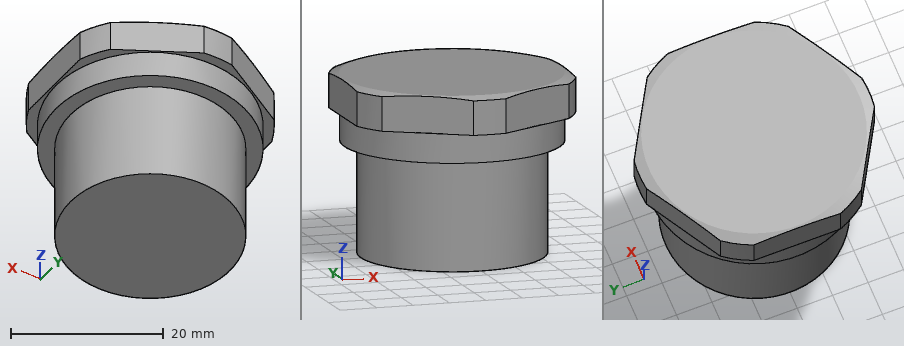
import cadquery as cq
import math

head_sides = 6
across_flats = 30.0
corner_diameter = 32.4
head_height = 5.0
top_face_diameter = 29.5
chamfer_angle = 15.0

collar_diameter = top_face_diameter
collar_height = 4.0

plug_diameter = 25.0
plug_height = 15.0

collar_base = plug_height
head_base = collar_base + collar_height
head_top = head_base + head_height


def cylinder(diameter, base, height):
    """Cylinder on the Z axis, standing on the level `base`."""
    return cq.Workplane("XY").workplane(offset=base).circle(diameter / 2).extrude(height)


def hexagon_prism():
    """Sharp hexagon with one pair of flats facing +X and -X."""
    half_side_angle = 180 / head_sides
    sharp_diameter = across_flats / math.cos(math.radians(half_side_angle))
    return (
        cq.Workplane("XY")
        .workplane(offset=head_base)
        .transformed(rotate=(0, 0, half_side_angle))
        .polygon(head_sides, sharp_diameter)
        .extrude(head_height)
    )


def turned_blank():
    """Round disc with a shallow conical chamfer, which trims the hexagon corners."""
    corner_radius = corner_diameter / 2
    top_radius = top_face_diameter / 2
    chamfer_drop = (corner_radius - top_radius) * math.tan(math.radians(chamfer_angle))
    return (
        cq.Workplane("XZ")
        .moveTo(0, head_base)
        .lineTo(corner_radius, head_base)
        .lineTo(corner_radius, head_top - chamfer_drop)
        .lineTo(top_radius, head_top)
        .lineTo(0, head_top)
        .close()
        .revolve(360, (0, 0, 0), (0, 1, 0))
    )


head = hexagon_prism().intersect(turned_blank())
collar = cylinder(collar_diameter, collar_base, collar_height)
plug = cylinder(plug_diameter, 0, plug_height)

result = plug.union(collar).union(head)